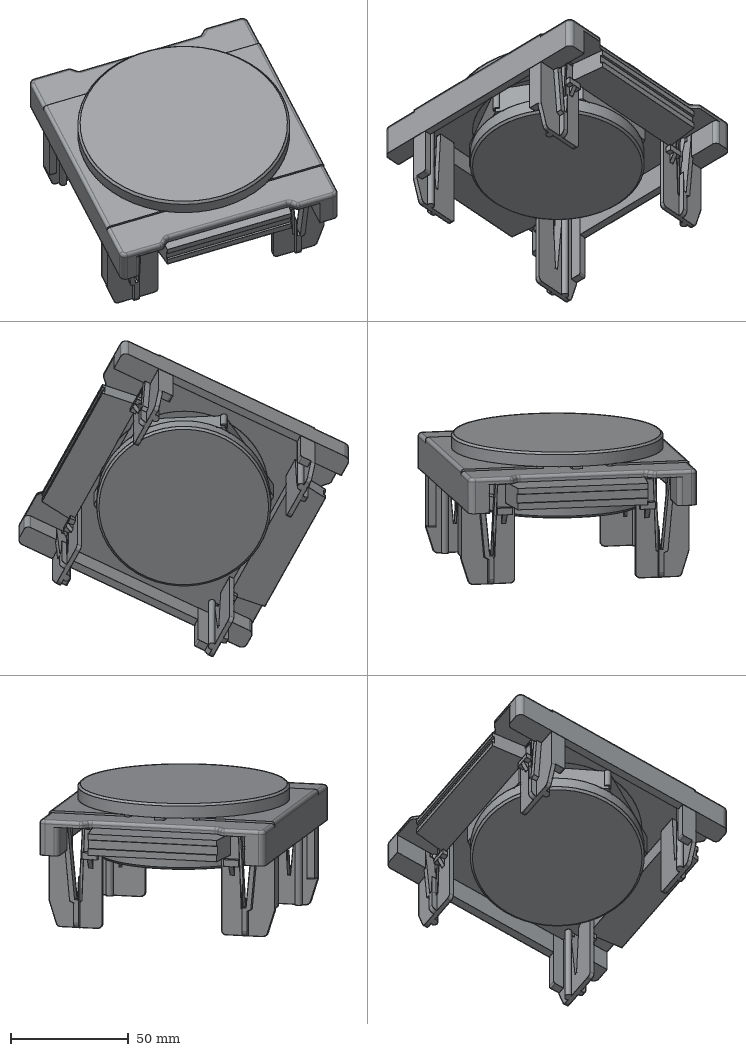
import cadquery as cq
LENGTH = 108.6
WIDTH = 99.0
HEIGHT = 57.0
HALF_X = LENGTH / 2
HALF_Y = WIDTH / 2

SKIRT_BOTTOM = 33.9
PLATE_BOTTOM = 46.3
PLATE_TOP = 49.1
RAISED_TOP = 50.0
RAISED_HALF_X = 36.9
WALL = 3.3
CORNER_RADIUS = 2.6
EDGE_RADIUS = 1.5
CORNER_BLOCK_Y = 40.8
NOTCH_DEPTH = 3.0
NOTCH_HALF_Y = 27.8
NOTCH_RADIUS = 2.1

LEG_OUTER_X = 37.4
LEG_PLATE = 2.0
LEG_INNER_X = LEG_OUTER_X - LEG_PLATE
LIP_HEIGHT = 2.5
LIP_OUTER_X = LEG_OUTER_X + LIP_HEIGHT
LEG_INNER_Y = 26.3
LEG_OUTER_Y = HALF_Y - 0.1
LEG_CORNER_RADIUS = 2.0
TAPER_TOP = 11.3
TAPER_FOOT_Y = 45.8
ARM_TOP = 43.9
SLOT_BOTTOM = 12.5
SLOT_FLOOR_Y = (36.4, 37.6)
SLOT_TOP_Y = (34.5, 40.8)
LIP_FLOOR = 11.8
LIP_FLOOR_Y = (35.0, 39.7)
LIP_TOP_Y = (33.7, 42.9)
LIP_WIDTH = 1.1
LOW_LIP = 0.3
STEM_Y = (35.8, 38.0)
STEM_TOP = 11.0
STEM_FOOT_RADIUS = 2.4
RIB_INNER_X = 30.4
RIB_BOTTOM = 12.2
RIB_CORNER_RADIUS = 0.9
POST_DIAMETER = 3.0
POST_X = 34.8
POST_Y = 41.5
PAD_Y = (27.8, 34.3)
PAD_Z = (30.1, 33.0)
GUSSET_Y = 31.1
GUSSET_WIDTH = 2.0
GUSSET_FOOT = 26.0

BAR_OUTER_X = 53.2
BAR_ROOT_HALF_Y = 30.2
BAR_TIP_HALF_Y = 28.2
BAR_BOTTOM = 34.6
GROOVE_Z = (37.5, 41.3)
GROOVE_DEPTH = 1.0

PIN_DIAMETER = 3.0
PIN_X = 36.4
PIN_Y = 15.1
KEY_X = (35.8, 41.5)
KEY_WIDTH = 4.3

DISK_DIAMETER = 90.0
DISK_BOTTOM = 50.8
NECK_DIAMETER = 72.0
DRUM_DIAMETER = 74.0
DRUM_BOTTOM = 26.9
INSERT_CHAMFER = 1.0
HEX_SIDE = 38.2
STUD_DIAMETER = 3.0
STUD_Y = 37.4
STUD_BOTTOM = 35.6


def box(x_range, y_range, z_range):
    """Axis-aligned box between the given limits."""
    size = [high - low for low, high in (x_range, y_range, z_range)]
    corner = (x_range[0], y_range[0], z_range[0])
    return cq.Workplane("XY").box(*size, centered=False).translate(corner)


def leg_section(points, x_start, x_end):
    """Prism with an outline in Y and Z, between two X positions."""
    plane = cq.Workplane("YZ", origin=(x_start, 0, 0))
    return plane.polyline(points).close().extrude(x_end - x_start)


def both_ends(body):
    """The body joined with its mirror image at the -X end."""
    return body.union(body.mirror("YZ"))


def four_corners(body):
    """The body repeated by mirroring in all four corners."""
    return both_ends(body.union(body.mirror("XZ")))


def make_cover():
    floor_x = HALF_X - NOTCH_DEPTH
    shoulder_y = NOTCH_HALF_Y + NOTCH_DEPTH
    quarter = [(HALF_X, HALF_Y), (HALF_X, shoulder_y), (floor_x, NOTCH_HALF_Y)]
    right = quarter + [(x, -y) for x, y in reversed(quarter)]
    left = [(-x, -y) for x, y in right]
    cover = (
        cq.Workplane("XY", origin=(0, 0, PLATE_BOTTOM))
        .polyline(right + left).close()
        .extrude(PLATE_TOP - PLATE_BOTTOM)
    )
    skirt_z = (SKIRT_BOTTOM, PLATE_BOTTOM)
    block = box((LEG_INNER_X, HALF_X), (CORNER_BLOCK_Y, HALF_Y), skirt_z)
    wall = box((0, LEG_INNER_X), (HALF_Y - WALL, HALF_Y), skirt_z)
    cover = cover.union(four_corners(block.union(wall))).clean()

    outline = (
        cq.Workplane("XY").rect(LENGTH, WIDTH).extrude(HEIGHT)
        .edges("|Z").fillet(CORNER_RADIUS)
    )
    cover = cover.intersect(outline)
    for side_x in (-HALF_X, HALF_X):
        notch_edges = cq.selectors.BoxSelector(
            (side_x - WALL, -CORNER_BLOCK_Y, SKIRT_BOTTOM),
            (side_x + WALL, CORNER_BLOCK_Y, PLATE_TOP),
        )
        cover = cover.edges("|Z").edges(notch_edges).fillet(NOTCH_RADIUS)
    cover = cover.faces(">Z").edges().fillet(EDGE_RADIUS)

    raised = box(
        (-RAISED_HALF_X, RAISED_HALF_X), (-HALF_Y, HALF_Y), (PLATE_BOTTOM, RAISED_TOP)
    ).edges("|X and >Z").fillet(EDGE_RADIUS)
    cutout = box((NECK_DIAMETER / 2 - WALL, HALF_X), (-PIN_Y, PIN_Y), (PLATE_TOP, RAISED_TOP))
    return cover.union(raised.cut(both_ends(cutout)))


def make_leg():
    plate = leg_section(
        [
            (LEG_INNER_Y, 0),
            (TAPER_FOOT_Y, 0),
            (LEG_OUTER_Y, TAPER_TOP),
            (LEG_OUTER_Y, PLATE_BOTTOM),
            (CORNER_BLOCK_Y, PLATE_BOTTOM),
            (CORNER_BLOCK_Y, ARM_TOP),
            (LEG_INNER_Y, ARM_TOP),
        ],
        LEG_INNER_X, LEG_OUTER_X,
    )
    plate = plate.edges("|X and <Z").fillet(LEG_CORNER_RADIUS)

    low_x = LEG_OUTER_X + LOW_LIP

    lip = leg_section(
        [
            (STEM_Y[0], STEM_TOP),
            (STEM_Y[1], STEM_TOP),
            (LIP_FLOOR_Y[1], LIP_FLOOR),
            (LIP_TOP_Y[1], PLATE_BOTTOM),
            (LIP_TOP_Y[0], PLATE_BOTTOM),
            (LIP_FLOOR_Y[0], LIP_FLOOR),
        ],
        LEG_OUTER_X, LIP_OUTER_X,
    )
    low_lip = box((LEG_OUTER_X, low_x), (0, STEM_Y[0]), (STEM_TOP, ARM_TOP))
    high_lip = box((LEG_OUTER_X, LIP_OUTER_X), (STEM_Y[0], HALF_Y), (STEM_TOP, PLATE_BOTTOM))
    lip = lip.intersect(low_lip.union(high_lip))
    lip_top = box(
        (LEG_OUTER_X, low_x), (BAR_ROOT_HALF_Y, SLOT_TOP_Y[0]),
        (ARM_TOP - LIP_WIDTH, ARM_TOP),
    )
    stem = box((LEG_OUTER_X, LIP_OUTER_X), STEM_Y, (0, STEM_TOP))
    stem = stem.edges("|Y and >X and <Z").fillet(STEM_FOOT_RADIUS)

    slot = leg_section(
        [
            (SLOT_FLOOR_Y[0], SLOT_BOTTOM),
            (SLOT_FLOOR_Y[1], SLOT_BOTTOM),
            (SLOT_TOP_Y[1], PLATE_BOTTOM),
            (SLOT_TOP_Y[0], PLATE_BOTTOM),
        ],
        LEG_INNER_X, LIP_OUTER_X,
    )
    pad = box((LEG_OUTER_X, LIP_OUTER_X), PAD_Y, PAD_Z)
    gusset = (
        cq.Workplane("XZ", origin=(0, GUSSET_Y + GUSSET_WIDTH / 2, 0))
        .polyline([(LEG_OUTER_X, GUSSET_FOOT), (LIP_OUTER_X, PAD_Z[0]), (LEG_OUTER_X, PAD_Z[0])])
        .close().extrude(GUSSET_WIDTH)
    )
    rib = box((RIB_INNER_X, LEG_OUTER_X), (LEG_OUTER_Y - WALL, LEG_OUTER_Y), (RIB_BOTTOM, PLATE_BOTTOM))
    rib = rib.edges("|Y and <X and <Z").fillet(RIB_CORNER_RADIUS)
    post = (
        cq.Workplane("XY").center(POST_X, POST_Y).circle(POST_DIAMETER / 2).extrude(PLATE_BOTTOM)
    )
    leg = plate.union(lip).union(lip_top).union(stem).union(pad).union(gusset)
    return leg.cut(slot).union(rib).union(post)


def make_bar():
    bar = (
        cq.Workplane("XY", origin=(0, 0, BAR_BOTTOM))
        .polyline([
            (LEG_OUTER_X, BAR_ROOT_HALF_Y),
            (BAR_OUTER_X, BAR_TIP_HALF_Y),
            (BAR_OUTER_X, -BAR_TIP_HALF_Y),
            (LEG_OUTER_X, -BAR_ROOT_HALF_Y),
        ])
        .close().extrude(ARM_TOP - BAR_BOTTOM)
    )
    groove = box((BAR_OUTER_X - GROOVE_DEPTH, BAR_OUTER_X), (-HALF_Y, HALF_Y), GROOVE_Z)
    return bar.cut(groove)


def make_cover_details():
    pin = (
        cq.Workplane("XY", origin=(0, 0, PLATE_TOP))
        .pushPoints([(PIN_X, PIN_Y), (PIN_X, -PIN_Y)])
        .circle(PIN_DIAMETER / 2).extrude(DISK_BOTTOM - PLATE_TOP)
    )
    key = box(KEY_X, (-KEY_WIDTH / 2, KEY_WIDTH / 2), (PLATE_TOP, DISK_BOTTOM))
    return both_ends(pin.union(key))


def make_housing():
    housing = make_cover().union(four_corners(make_leg())).union(both_ends(make_bar()))
    housing = housing.union(make_cover_details())
    bore = cq.Workplane("XY").circle(NECK_DIAMETER / 2).extrude(HEIGHT)
    return housing.cut(bore)


def make_insert():
    drum = (
        cq.Workplane("XY", origin=(0, 0, DRUM_BOTTOM))
        .circle(DRUM_DIAMETER / 2).extrude(SKIRT_BOTTOM - DRUM_BOTTOM)
        .faces("<Z").chamfer(INSERT_CHAMFER)
    )
    hexagon = (
        cq.Workplane("XY", origin=(0, 0, SKIRT_BOTTOM))
        .polygon(6, 2 * HEX_SIDE).extrude(PLATE_BOTTOM - SKIRT_BOTTOM)
        .rotate((0, 0, 0), (0, 0, 1), 90)
    )
    studs = (
        cq.Workplane("XY", origin=(0, 0, STUD_BOTTOM))
        .pushPoints([(0, STUD_Y), (0, -STUD_Y)])
        .circle(STUD_DIAMETER / 2).extrude(PLATE_BOTTOM - STUD_BOTTOM)
    )
    neck = (
        cq.Workplane("XY", origin=(0, 0, PLATE_BOTTOM))
        .circle(NECK_DIAMETER / 2).extrude(DISK_BOTTOM - PLATE_BOTTOM)
    )
    disk = (
        cq.Workplane("XY", origin=(0, 0, DISK_BOTTOM))
        .circle(DISK_DIAMETER / 2).extrude(HEIGHT - DISK_BOTTOM)
        .faces(">Z").chamfer(INSERT_CHAMFER)
    )
    return drum.union(hexagon).union(studs).union(neck).union(disk)


housing = make_housing()
insert = make_insert()
result = cq.Compound.makeCompound([housing.val(), insert.val()])